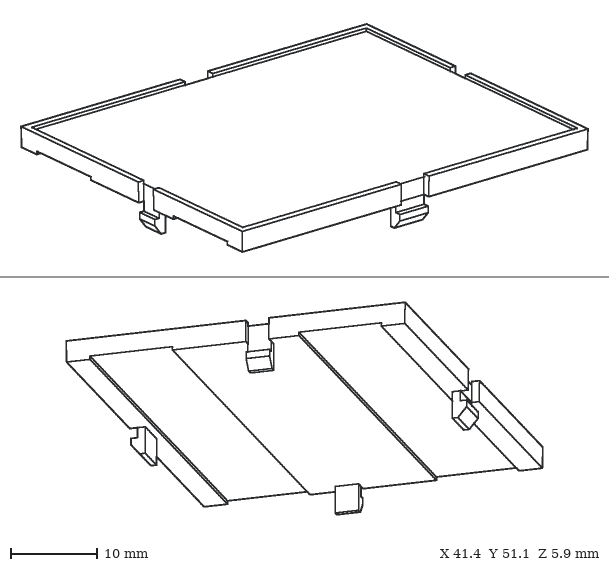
import cadquery as cq

length_x = 41.4
length_y = 51.1
total_height = 5.9
plate_height = 2.6
side_draft_angle = 1.0

rim_x = 0.95
rim_y = 0.8
panel_depth = 0.4

channel_depth = 0.4
channel_inner_x = 7.7
channel_outer_x = 17.8

clip_thickness = 0.95
hook_setback = 0.2
hook_ledge_z = -3.85
hook_chamfer_z = -4.65
clip_tip_thickness = 0.65
side_clip_width = 4.2
side_notch_width = 4.1
end_clip_width = 2.85
end_notch_width = 2.8
end_clip_offset = 2.65

half_x = length_x / 2
half_y = length_y / 2


def make_clip(stem_face, hook_reach, width):
    """Clip on the +X side of the origin, hanging below the plate and hooked outward."""
    inner_face = stem_face - clip_thickness
    profile = [
        (inner_face, -plate_height),
        (stem_face, -plate_height),
        (stem_face, hook_ledge_z),
        (stem_face + hook_reach, hook_ledge_z),
        (stem_face + hook_reach, hook_chamfer_z),
        (inner_face + clip_tip_thickness, -total_height),
        (inner_face, -total_height),
    ]
    return cq.Workplane("XZ").polyline(profile).close().extrude(width / 2, both=True)


def make_plate_blank():
    """Block whose four sides lean slightly inward toward the bottom."""
    return cq.Workplane("XY").rect(length_x, length_y).extrude(-plate_height, taper=side_draft_angle)


def make_block(size_x, size_y, height, center_x, center_y, base_z):
    """Box standing on base_z and centred on the given X and Y."""
    block = cq.Workplane("XY").box(size_x, size_y, height, centered=(True, True, False))
    return block.translate((center_x, center_y, base_z))


def make_plate():
    """Plate with its rim, sunken panel, notches, channels and the two end clips."""
    plate = make_plate_blank()

    panel_x = length_x - 2 * rim_x
    panel_y = length_y - 2 * rim_y
    plate = plate.cut(make_block(panel_x, panel_y, panel_depth, 0, 0, -panel_depth))

    for side in (-1, 1):
        side_notch = make_block(
            rim_x, side_notch_width, plate_height, side * (half_x - rim_x / 2), 0, -plate_height
        )
        end_notch = make_block(
            end_notch_width,
            rim_y,
            plate_height,
            -side * end_clip_offset,
            side * (half_y - rim_y / 2),
            -plate_height,
        )
        channel = make_block(
            channel_outer_x - channel_inner_x,
            length_y,
            channel_depth,
            side * (channel_inner_x + channel_outer_x) / 2,
            0,
            -plate_height,
        )
        plate = plate.cut(side_notch).cut(end_notch).cut(channel)

    end_clip = make_clip(half_y - rim_y, rim_y - hook_setback, end_clip_width)
    for side in (-1, 1):
        placed_clip = end_clip.rotate((0, 0, 0), (0, 0, 1), side * 90)
        plate = plate.union(placed_clip.translate((-side * end_clip_offset, 0, 0)))
    return plate


def make_side_clips():
    """Separate clips against the underside of the plate, one behind each side notch."""
    clip = make_clip(half_x - rim_x, rim_x - hook_setback, side_clip_width)
    return [clip.rotate((0, 0, 0), (0, 0, 1), angle) for angle in (0, 180)]


plate = make_plate()
side_clips = make_side_clips()

result = cq.Compound.makeCompound([plate.val(), *[clip.val() for clip in side_clips]])